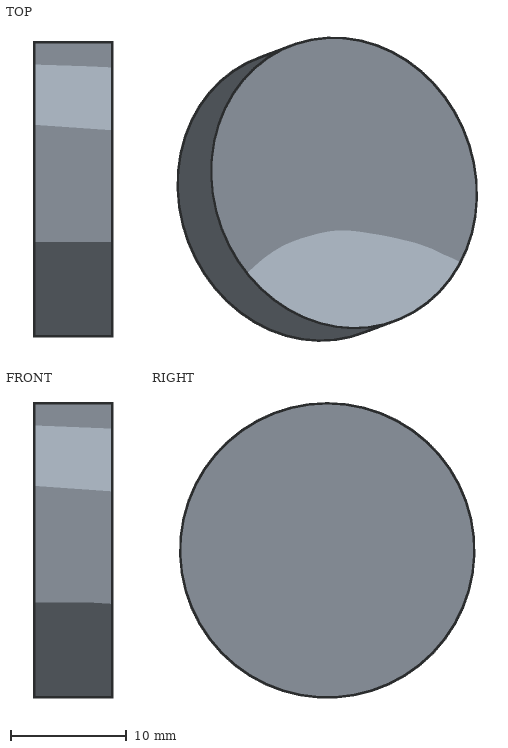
import cadquery as cq

diameter = 25.4
edge_thickness = 6.75
concave_depth = 2.1

radius = diameter / 2
sphere_radius = (radius**2 + concave_depth**2) / (2 * concave_depth)

concave_rim_x = -edge_thickness / 2
flat_face_x = edge_thickness / 2
vertex_x = concave_rim_x + concave_depth

mid_arc_height = radius / 2
mid_arc_sag = sphere_radius - (sphere_radius**2 - mid_arc_height**2) ** 0.5

half_section = (
    cq.Workplane("XZ")
    .moveTo(vertex_x, 0)
    .threePointArc((vertex_x - mid_arc_sag, mid_arc_height), (concave_rim_x, radius))
    .lineTo(flat_face_x, radius)
    .lineTo(flat_face_x, 0)
    .close()
)

result = half_section.revolve(360, (0, 0, 0), (1, 0, 0))